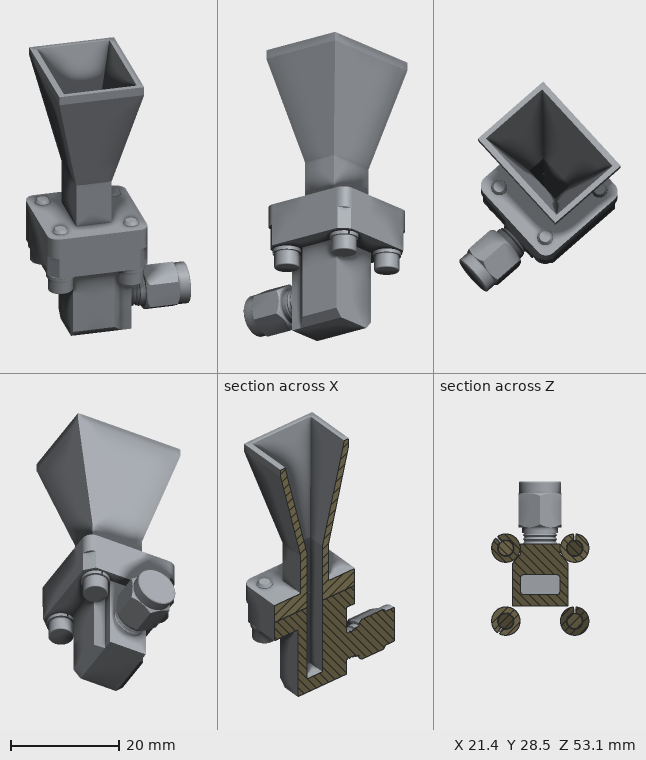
import cadquery as cq
import math


guide_x = 7.112
guide_y = 3.556
guide_wall = 1.6
flange_side = 19.05
screw_x = 6.35
screw_y = 6.73
screw_hole_dia = 2.92

horn_height = 33.9
horn_flange_thickness = 3.95
horn_flange_radius = 2.0
throat_top = 12.4
rim_height = 1.65
aperture_outer_x = 21.42
aperture_outer_y = 16.2
aperture_inner_x = 19.45
aperture_inner_y = 13.9
throat_outer_x = guide_x + 2 * guide_wall
throat_outer_y = guide_y + 2 * guide_wall

total_height = 53.05
adapter_depth = total_height - horn_height
adapter_flange_thickness = 4.07
adapter_flange_chamfer = 1.8
block_front = -4.0
block_back = 7.58
block_width = throat_outer_x
back_pad_thickness = 2.0
block_chamfer_x = 1.43
block_chamfer_y = 1.65
block_chamfer_z = 1.5
cavity_depth = 16.0
cavity_corner_radius = 0.4

connector_z = -12.83
connector_end = 18.945
nut_sleeve_dia = 7.76
nut_sleeve_length = 2.1
nut_sleeve_chamfer = 0.15
hex_flats = 7.9
hex_length = 6.4
hex_back_chamfer = 0.52
hex_front_chamfer = 0.65
collar_dia = 6.6
thread_dia = 6.35
thread_root_dia = 5.65
thread_length = 1.87
thread_pitches = 2.5
hex_corners = hex_flats / math.cos(math.pi / 6)
hex_back = connector_end - nut_sleeve_length
hex_front = hex_back - hex_length
collar_front = block_back + thread_length

screw_dia = 2.85
screw_tip_dia = 2.02
screw_protrusion = 0.65
screw_tip_length = 0.55
screw_head_dia = 4.65
screw_head_height = 2.845
screw_head_top_chamfer = 0.1
screw_head_end_fillet = 0.2
washer_outer_dia = 5.33
washer_inner_dia = 2.95
washer_thickness = 0.635
washer_clearance = 0.31
washer_split = 0.35
washer_top = -adapter_flange_thickness - washer_clearance
head_top = washer_top - washer_thickness

screw_places = [
    (-screw_x, -screw_y, -121),
    (-screw_x, screw_y, 130),
    (screw_x, -screw_y, 90),
    (screw_x, screw_y, 90),
]
screw_points = [(x, y) for x, y, _ in screw_places]


def block(size_x, size_y, bottom, top):
    """Box centred on the waveguide axis."""
    return cq.Workplane("XY", origin=(0, 0, bottom)).rect(size_x, size_y).extrude(top - bottom)


def taper(bottom_x, bottom_y, top_x, top_y, bottom, top):
    """Rectangular funnel centred on the waveguide axis."""
    return (
        cq.Workplane("XY", origin=(0, 0, bottom))
        .rect(bottom_x, bottom_y)
        .workplane(offset=top - bottom)
        .rect(top_x, top_y)
        .loft(ruled=True)
    )


def cut_screw_holes(body, bottom, top):
    holes = (
        cq.Workplane("XY", origin=(0, 0, bottom))
        .pushPoints(screw_points)
        .circle(screw_hole_dia / 2)
        .extrude(top - bottom)
    )
    return body.cut(holes)


def make_horn():
    rim_bottom = horn_height - rim_height
    flange = block(flange_side, flange_side, 0, horn_flange_thickness).edges("|Z").fillet(horn_flange_radius)
    throat = block(throat_outer_x, throat_outer_y, 0, throat_top)
    flare = taper(throat_outer_x, throat_outer_y, aperture_outer_x, aperture_outer_y, throat_top, rim_bottom)
    rim = block(aperture_outer_x, aperture_outer_y, rim_bottom, horn_height)
    guide = block(guide_x, guide_y, 0, throat_top)
    flare_bore = taper(guide_x, guide_y, aperture_inner_x, aperture_inner_y, throat_top, horn_height)
    horn = flange.union(throat).union(flare).union(rim).cut(guide).cut(flare_bore)
    return cut_screw_holes(horn, 0, horn_flange_thickness)


def make_adapter_block():
    """Block below the flange: its plan outline crossed with its front outline."""
    half = block_width / 2
    narrow = half - block_chamfer_x
    pad_front = block_back - back_pad_thickness
    chamfer_front = pad_front - block_chamfer_y
    plan = (
        cq.Workplane("XY", origin=(0, 0, -adapter_depth))
        .polyline([
            (-half, block_front), (half, block_front),
            (half, chamfer_front), (narrow, pad_front), (narrow, block_back),
            (-narrow, block_back), (-narrow, pad_front), (-half, chamfer_front),
        ])
        .close()
        .extrude(adapter_depth - adapter_flange_thickness)
    )
    chamfer_top = -adapter_depth + block_chamfer_z
    front = (
        cq.Workplane("XZ", origin=(0, block_back, 0))
        .polyline([
            (-half, -adapter_flange_thickness), (-half, chamfer_top), (-narrow, -adapter_depth),
            (narrow, -adapter_depth), (half, chamfer_top), (half, -adapter_flange_thickness),
        ])
        .close()
        .extrude(block_back - block_front)
    )
    return plan.intersect(front)


def revolve_on_connector(profile):
    """Revolve (radius, y) points around the connector axis."""
    return (
        cq.Workplane("XY", origin=(0, 0, connector_z))
        .polyline(profile)
        .close()
        .revolve(360, (0, 0, 0), (0, 1, 0))
    )


def make_connector():
    half_pitches = round(2 * thread_pitches)
    half_pitch = thread_length / half_pitches
    neck = [(0, block_back), (0, collar_front)]
    for i in range(half_pitches + 1):
        radius = (thread_root_dia if i % 2 == 0 else thread_dia) / 2
        neck.append((radius, collar_front - i * half_pitch))

    collar_radius = collar_dia / 2
    sleeve_radius = nut_sleeve_dia / 2
    collar = [(0, collar_front), (collar_radius, collar_front), (collar_radius, hex_front), (0, hex_front)]
    sleeve = [
        (0, hex_back),
        (sleeve_radius, hex_back),
        (sleeve_radius, connector_end - nut_sleeve_chamfer),
        (sleeve_radius - nut_sleeve_chamfer, connector_end),
        (0, connector_end),
    ]

    hexagon = (
        cq.Workplane("XZ", origin=(0, hex_back, connector_z))
        .transformed(rotate=(0, 0, 90))
        .polygon(6, hex_corners)
        .extrude(hex_length)
    )
    hex_envelope = [
        (0, hex_front),
        (sleeve_radius, hex_front),
        (hex_corners / 2, hex_front + hex_front_chamfer),
        (hex_corners / 2, hex_back - hex_back_chamfer),
        (sleeve_radius, hex_back),
        (0, hex_back),
    ]
    nut = hexagon.intersect(revolve_on_connector(hex_envelope))
    neck_and_collar = revolve_on_connector(neck).union(revolve_on_connector(collar))
    return neck_and_collar.union(nut).union(revolve_on_connector(sleeve))


def make_adapter():
    flange = block(flange_side, flange_side, -adapter_flange_thickness, 0)
    flange = flange.edges("|Z").chamfer(adapter_flange_chamfer)
    flange = cut_screw_holes(flange, -adapter_flange_thickness, 0)
    cavity = block(guide_x, guide_y, -cavity_depth, 0).edges("|Z").fillet(cavity_corner_radius)
    return flange.union(make_adapter_block()).cut(cavity).union(make_connector())


def make_screw(x, y):
    tip_end = horn_flange_thickness + screw_protrusion
    head = (
        cq.Workplane("XY", origin=(x, y, head_top))
        .circle(screw_head_dia / 2)
        .extrude(-screw_head_height)
        .faces(">Z").edges().chamfer(screw_head_top_chamfer)
        .faces("<Z").edges().fillet(screw_head_end_fillet)
    )
    shank = (
        cq.Workplane("XY", origin=(x, y, head_top))
        .circle(screw_dia / 2)
        .extrude(tip_end - head_top)
        .faces(">Z").edges().chamfer(screw_tip_length, (screw_dia - screw_tip_dia) / 2)
    )
    return head.union(shank)


def make_washer(x, y, split_angle):
    ring = (
        cq.Workplane("XY")
        .circle(washer_outer_dia / 2)
        .circle(washer_inner_dia / 2)
        .extrude(-washer_thickness)
    )
    split = cq.Workplane("XY").box(
        washer_outer_dia, washer_split, 2 * washer_thickness, centered=(False, True, True)
    )
    washer = ring.cut(split).rotate((0, 0, 0), (0, 0, 1), split_angle)
    return washer.translate((x, y, washer_top))


horn = make_horn()
adapter = make_adapter()
screws = [make_screw(x, y) for x, y, _ in screw_places]
washers = [make_washer(x, y, split_angle) for x, y, split_angle in screw_places]

result = cq.Compound.makeCompound([
    horn.val(),
    adapter.val(),
    *[screw.val() for screw in screws],
    *[washer.val() for washer in washers],
])